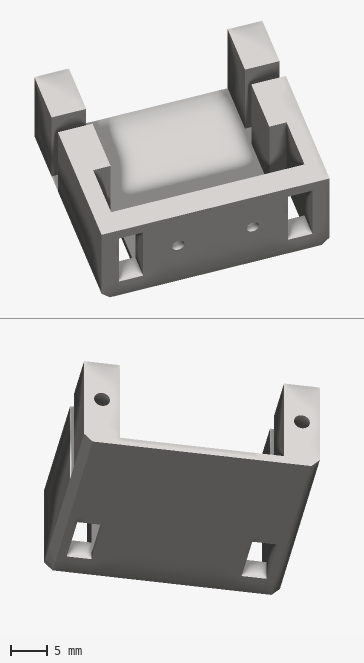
import cadquery as cq

length = 30.0
width = 33.0
height = 13.7

floor_thickness = 1.2
side_wall = 5.0
back_wall = 3.5
bottom_chamfer = floor_thickness

post_length = 7.7
slot_width = 2.8

recess_length = 8.0
recess_width = 3.5
recess_outer_wall = side_wall / 2
window_height = 9.15

post_hole_diameter = 2.2
small_hole_diameter = 1.8
blind_hole_depth = 6.0
back_hole_spacing = 10.8

hole_z = (floor_thickness + height) / 2
back_wall_x = length - back_wall
slot_end_x = post_length + slot_width
post_hole_y = (width - side_wall) / 2
recess_y = width / 2 - recess_outer_wall - recess_width / 2


def block(x_start, x_end, y_center, y_size, z_start, z_end):
    """Box given by its X and Z limits and its centre and size along Y."""
    return (
        cq.Workplane("XY")
        .box(x_end - x_start, y_size, z_end - z_start, centered=(False, True, False))
        .translate((x_start, y_center, z_start))
    )


def hole_along_x(x_start, depth, y, diameter):
    """Cylinder running in +X at the common hole height."""
    return (
        cq.Workplane("YZ", origin=(x_start, y, hole_z))
        .circle(diameter / 2)
        .extrude(depth)
    )


body = block(0, length, 0, width, 0, height)
body = body.edges("|X and <Z").chamfer(bottom_chamfer)

body = body.cut(block(0, back_wall_x, 0, width - 2 * side_wall, floor_thickness, height))

body = body.cut(block(post_length, slot_end_x, 0, width, floor_thickness, height))

for side in (-1, 1):
    body = body.cut(
        block(back_wall_x - recess_length, back_wall_x, side * recess_y, recess_width, 0, height)
    )
    body = body.cut(
        block(
            back_wall_x,
            length,
            side * recess_y,
            recess_width,
            hole_z - window_height / 2,
            hole_z + window_height / 2,
        )
    )

    body = body.cut(hole_along_x(0, post_length, side * post_hole_y, post_hole_diameter))
    body = body.cut(
        hole_along_x(slot_end_x, blind_hole_depth, side * post_hole_y, small_hole_diameter)
    )
    body = body.cut(
        hole_along_x(back_wall_x, back_wall, side * back_hole_spacing / 2, small_hole_diameter)
    )

result = body